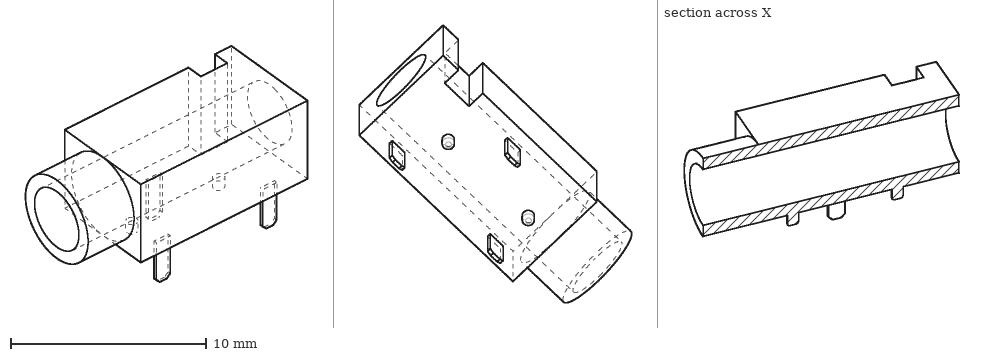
import cadquery as cq

total_length = 14.21
body_width = 6.08
barrel_diameter = 5.02
body_height = barrel_diameter
barrel_length = 3.07
bore_diameter = 3.55
body_length = total_length - barrel_length

notch_depth = 1
notch_length = 1.76
notch_offset = 1.11

pin_thickness = 0.2
pin_width = 0.92
pin_drop = 2.65
pin_chamfer = 0.23
pin_side = 2.15
pin_embed = 0.14
pin_places = [(pin_side, 1.86), (-pin_side, 5.93), (pin_side, 8.97)]

peg_diameter = 0.64
peg_drop = 0.7
peg_fillet = 0.17
peg_distances = [3.41, 9.21]

back_y = body_length
underside_z = -body_height / 2


def make_housing():
    """Block with a round barrel and a side notch, bored from end to end."""
    body = cq.Workplane("XY").box(body_width, body_length, body_height, centered=(True, False, True))
    barrel = cq.Workplane("XZ").circle(barrel_diameter / 2).extrude(barrel_length)
    bore = (
        cq.Workplane("XZ", origin=(0, back_y, 0))
        .circle(bore_diameter / 2)
        .extrude(total_length)
    )
    notch = (
        cq.Workplane("XY")
        .box(notch_depth, notch_length, body_height, centered=(False, False, True))
        .translate((-body_width / 2, back_y - notch_offset - notch_length, 0))
    )
    return body.union(barrel).cut(bore).cut(notch)


def make_pin(x, distance_from_back):
    """Flat pin with both lower corners chamfered."""
    height = pin_drop + pin_embed
    return (
        cq.Workplane("XY")
        .box(pin_thickness, pin_width, height, centered=(True, True, False))
        .edges("<Z and |X")
        .chamfer(pin_chamfer)
        .translate((x, back_y - distance_from_back, underside_z - pin_drop))
    )


def make_peg(distance_from_back):
    """Round peg with a rounded tip."""
    return (
        cq.Workplane("XY", origin=(0, back_y - distance_from_back, underside_z - peg_drop))
        .circle(peg_diameter / 2)
        .extrude(peg_drop)
        .faces("<Z")
        .edges()
        .fillet(peg_fillet)
    )


result = make_housing()
for pin_x, pin_distance in pin_places:
    result = result.union(make_pin(pin_x, pin_distance))
for peg_distance in peg_distances:
    result = result.union(make_peg(peg_distance))